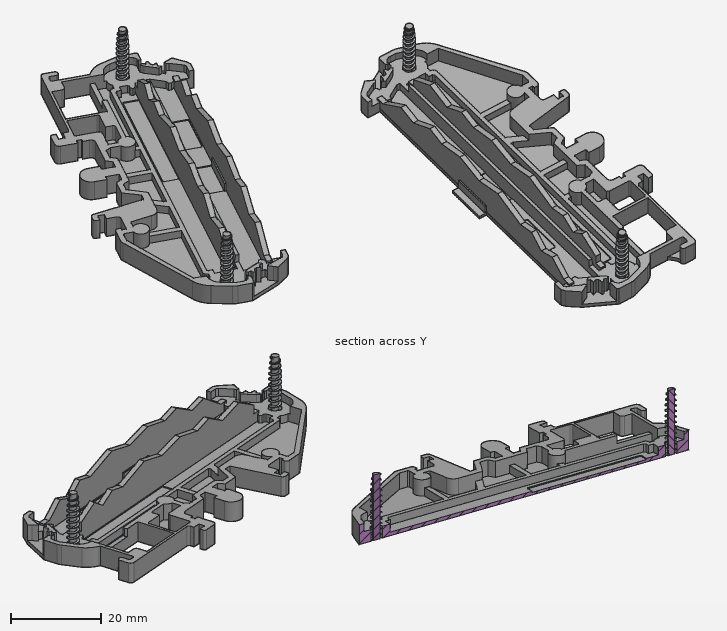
import cadquery as cq
import math

RIM_TOP = 4.9
LEDGE_TOP = 3.0
FLOOR_TOP = 1.0
RECESS_TOP = 0.7
CLEARANCE = 0.9

EAR_INNER_X = 34.9
EAR_TOP_Y = 37.6
BOARD_THICKNESS = 1.3
BACK_BOARD_Y = 33.0
FRONT_BOARD_Y = 24.3
BACK_EDGE_Y = BACK_BOARD_Y + BOARD_THICKNESS
SLOT_HALF_LENGTH = 36.0
RIDGE_BOTTOM_Y = 18.4
RIDGE_TOP_Y = 19.4

SCREW_X = 39.9
SCREW_Y = 22.6
SCREW_TOP = 16.0
SCREW_HOLE_RADIUS = 1.5
CORE_RADIUS = 0.9
THREAD_RADIUS = 1.4
THREAD_TIP_RADIUS = 1.1
TAPER_START = 11.65
THREAD_PITCH = 1.3
THREAD_START = 0.3
THREAD_TURNS = 11.5
THREAD_ROOT_HALF = 0.2
THREAD_CREST_HALF = 0.05
THREAD_OVERLAP = 0.13

POCKET_END_X = 39.2
POST_RIB = (-14.0, -12.6)
MIDDLE_RIB = (-4.8, -3.5)
FOOT_RIB = (17.6, 18.9)
BAY_FLOOR_Y = 11.9
FOOT_POCKET_TOP_Y = 14.7
WINDOW_TOP_Y = 14.8
STRIP_TOP_Y = 15.95
SMALL_WINDOW_TOP_Y = 12.6
SMALL_WINDOW_RIGHT_X = -19.1
WINDOW_BOTTOM_Y = 5.1
RECESS_CORNER = 0.4
POST_RADIUS = 2.0
WINDOW_POST = (-13.7, 15.6)
FOOT_POST = (18.3, 9.1)

CLIP_HALF_WIDTH = 5.0
CLIP_BACK_Y = 36.3
CLIP_LIP = 0.4
DIVIDER_BACK_Y = 27.2
DIVIDER_FRONT_Y = 26.4
DIVIDER_FOOT_Y = 26.2
DIVIDER_HALF_LENGTH = 33.8


def arc(middle, end):
    """An outline step that curves through `middle` to `end`."""
    return (middle, end)


def rounded(before, corner, after):
    """Start, middle and end of the arc that rounds a corner (x, y, radius)."""
    x, y, radius = corner
    back = cq.Vector(before[0] - x, before[1] - y).normalized()
    ahead = cq.Vector(after[0] - x, after[1] - y).normalized()
    half_angle = back.getAngle(ahead) / 2
    tip = cq.Vector(x, y)
    reach = radius / math.tan(half_angle)
    middle = tip + (back + ahead).normalized() * (radius / math.sin(half_angle) - radius)
    return [(p.x, p.y) for p in (tip + back * reach, middle, tip + ahead * reach)]


def end_of(step):
    return step[1] if isinstance(step[0], tuple) else step


def trace(steps, plane="XY"):
    """Closed outline; a step is a point (x, y), a rounded corner (x, y, radius) or an arc."""
    path = cq.Workplane(plane).moveTo(*steps[0])
    for index, step in enumerate(steps[1:], start=1):
        if isinstance(step[0], tuple):
            path = path.threePointArc(*step)
        elif len(step) == 3:
            following = steps[(index + 1) % len(steps)]
            start, middle, end = rounded(end_of(steps[index - 1]), step, end_of(following))
            path = path.lineTo(*start).threePointArc(middle, end)
        else:
            path = path.lineTo(*step)
    return path.close()


def cutter(steps, bottom):
    """Prism over an outline, from `bottom` to clear above the rim."""
    return trace(steps).extrude(RIM_TOP + CLEARANCE - bottom).translate((0, 0, bottom))


def block(x0, x1, y0, y1, z0, z1):
    return cq.Workplane("XY").box(x1 - x0, y1 - y0, z1 - z0, centered=False).translate((x0, y0, z0))


def both_ends(body):
    """The left-end shape together with its mirror image at the right end."""
    return body.union(body.mirror("YZ"))


def flipped(points):
    """Corners mirrored to the other end, in reverse order so the outline carries on."""
    return [(-corner[0], *corner[1:]) for corner in reversed(points)]


EAR = [
    (-43.1, 18.0), (-44.8, 23.0, 3.6), (-44.8, 27.1), (-44.5, 27.5), (-40.8, 34.2), (-38.35, 37.0),
    (-37.4, EAR_TOP_Y), (-EAR_INNER_X, EAR_TOP_Y), (-EAR_INNER_X, BACK_EDGE_Y),
]


def plate():
    clip = [
        (-CLIP_HALF_WIDTH, BACK_EDGE_Y), (-CLIP_HALF_WIDTH, CLIP_BACK_Y),
        (CLIP_HALF_WIDTH, CLIP_BACK_Y), (CLIP_HALF_WIDTH, BACK_EDGE_Y),
    ]
    right_slope = [
        (42.3, 15.7, 6.3), (21.7, 3.6, 1.8), (16.8, 3.6, 0.8), (16.8, 5.1), (17.4, 5.1), (17.4, 6.1),
    ]
    right_foot = [
        (12.45, 6.1, 0.8), (12.45, 3.0), (10.8, 3.0), (10.8, 1.4), (12.45, 1.4), (12.45, 0.0, 0.5),
        (10.1, 0.0, 0.9), (7.9, 13.0), (6.3, 13.0), (4.2, 9.0),
    ]
    round_foot = [
        (0.3, 9.0), (-0.7, 10.5), (-2.6, 10.5), (-2.6, 7.35), (-1.5, 7.35), (-1.5, 4.5),
        arc((-4.1, 1.9), (-6.7, 4.5)), (-6.7, 7.35), (-5.6, 7.35), (-5.6, 10.5), (-7.4, 10.5), (-8.3, 9.0),
    ]
    left_foot = [
        (-16.7, 9.0, 1.1), (-16.7, 6.3), (-17.4, 6.3), (-17.4, 5.1), (-16.4, 5.1), (-16.4, 0.0, 1.1),
        (-21.0, 0.0, 0.5), (-21.0, 1.4), (-19.1, 1.4), (-19.1, 3.0), (-21.0, 3.0), (-21.0, 4.5, 0.5),
    ]
    hook = [
        (-43.4, 4.5, 0.9), (-43.4, 8.4, 0.7), (-42.6, 8.4), arc((-41.0, 9.2), (-40.1, 10.3)), (-40.1, 15.05),
        (-40.4, 15.2), arc((-41.8, 16.3), EAR[0]),
    ]
    outline = EAR + clip + flipped(EAR) + right_slope + right_foot + round_foot + left_foot + hook
    return trace(outline).extrude(RIM_TOP)


def ledge_zone():
    beyond_ears = EAR_TOP_Y + CLEARANCE
    left_half = [
        (0, RIDGE_BOTTOM_Y), (-POCKET_END_X, RIDGE_BOTTOM_Y), (-POCKET_END_X, 18.1),
        arc((-41.0, 18.55), (-42.5, 20.3)), (-43.55, 23.65), (-43.55, 25.1), arc((-43.3, 26.1), (-42.6, 26.7)),
        (-41.1, 26.7), (-40.3, 26.7), (-39.6, 27.4), (-37.9, 30.5), (-38.4, 31.3), (-38.2, 32.0),
        (-39.1, 32.4), (-39.0, 33.1), (-37.4, 36.1), (-36.8, 36.5), (-EAR_INNER_X, 36.5),
        (-EAR_INNER_X, beyond_ears), (0, beyond_ears),
    ]
    return both_ends(cutter(left_half, LEDGE_TOP))


def latch_gap():
    """Opening in the ear's rim, down to the floor, beside the toothed latch bar."""
    left = [
        (-40.8, 34.2), (-40.2, 33.3), (-39.6, 32.1), (-39.1, 32.4), (-38.2, 32.0), (-38.4, 31.3),
        (-38.8, 30.5), (-39.9, 30.5), (-39.5, 29.6), (-39.9, 29.0),
        (-40.95, 28.85), (-40.95, 28.3), (-40.3, 28.0), (-40.7, 27.3),
        (-40.3, 26.7), (-41.1, 26.7), (-42.0, 26.9), (-42.0, 27.5), (-44.5, 27.5), (-45.7, 33.8),
    ]
    return both_ends(cutter(left, FLOOR_TOP))


def back_trough():
    left_half = [
        (0, BACK_EDGE_Y), (-SLOT_HALF_LENGTH, BACK_EDGE_Y), (-SLOT_HALF_LENGTH, BACK_BOARD_Y),
        (-EAR_INNER_X, BACK_BOARD_Y), (-34.4, 32.3), (-34.4, 31.5), (-35.2, 31.3), (-37.1, 28.0),
        (-37.1, DIVIDER_BACK_Y), (0, DIVIDER_BACK_Y),
    ]
    return both_ends(cutter(left_half, FLOOR_TOP))


def front_trough():
    left_half = [
        (0, DIVIDER_FOOT_Y), (-SLOT_HALF_LENGTH, DIVIDER_FOOT_Y), (-SLOT_HALF_LENGTH, FRONT_BOARD_Y),
        (-35.1, 24.0), (-34.85, 23.5), (-35.2, 22.9), (-35.9, 22.9), (-36.3, 22.6), (-36.3, 20.8),
        (-34.9, 20.8), (-34.9, 19.8), (-34.6, RIDGE_TOP_Y), (0, RIDGE_TOP_Y),
    ]
    return both_ends(cutter(left_half, FLOOR_TOP))


def divider():
    """Wall between the troughs, its front face leaning in towards the top."""
    profile = [
        (DIVIDER_FOOT_Y, FLOOR_TOP), (DIVIDER_FOOT_Y, LEDGE_TOP), (DIVIDER_FRONT_Y, RIM_TOP),
        (DIVIDER_BACK_Y, RIM_TOP), (DIVIDER_BACK_Y, FLOOR_TOP),
    ]
    wall = trace(profile, "YZ").extrude(2 * DIVIDER_HALF_LENGTH)
    return wall.translate((-DIVIDER_HALF_LENGTH, 0, 0))


def floor_recesses():
    clip_pad = block(
        -CLIP_HALF_WIDTH, CLIP_HALF_WIDTH, DIVIDER_BACK_Y, CLIP_BACK_Y, RECESS_TOP, RIM_TOP + CLEARANCE)
    back_recess = block(-22.85, -12.1, 28.3, 32.7, RECESS_TOP, FLOOR_TOP)
    back_recess = back_recess.edges("|Z").fillet(RECESS_CORNER)
    front_recess = block(-33.1, -2.15, 20.5, FRONT_BOARD_Y, RECESS_TOP, FLOOR_TOP)
    front_recess = front_recess.edges("|Z and <Y").fillet(RECESS_CORNER)
    return [clip_pad, back_recess, front_recess]


def clip_lips():
    """Two thin lips that grip the back board."""
    lips = []
    for y in (BACK_EDGE_Y, BACK_BOARD_Y - CLIP_LIP):
        lips.append(block(-CLIP_HALF_WIDTH, CLIP_HALF_WIDTH, y, y + CLIP_LIP, 0, LEDGE_TOP))
    return lips


def post(centre):
    return cq.Workplane("XY").center(*centre).circle(POST_RADIUS).extrude(RIM_TOP + CLEARANCE)


def lowered_ribs():
    """Ribs between pockets, and the strip beside the left window, at ledge height."""
    cut_top = RIM_TOP + CLEARANCE
    upright_ribs = [
        block(*POST_RIB, WINDOW_POST[1], RIDGE_BOTTOM_Y, LEDGE_TOP, cut_top),
        block(*MIDDLE_RIB, BAY_FLOOR_Y, RIDGE_BOTTOM_Y, LEDGE_TOP, cut_top),
        block(*FOOT_RIB, FOOT_POST[1], RIDGE_BOTTOM_Y, LEDGE_TOP, cut_top),
    ]
    slanted_rib = [
        (5.7, FOOT_POCKET_TOP_Y), (7.7, FOOT_POCKET_TOP_Y), (9.7, RIDGE_BOTTOM_Y), (7.4, RIDGE_BOTTOM_Y),
        (7.4, 17.7),
    ]
    window_strip = [
        (-POCKET_END_X, WINDOW_TOP_Y), (-29.8, WINDOW_TOP_Y), (-30.1, 15.4), (-29.8, STRIP_TOP_Y),
        (-POCKET_END_X, STRIP_TOP_Y),
    ]
    return upright_ribs + [cutter(slanted_rib, LEDGE_TOP), cutter(window_strip, LEDGE_TOP)]


LEDGE_SHOULDER = [
    (-POCKET_END_X, 18.6), arc((-38.3, 18.8), (-37.4, RIDGE_TOP_Y)), (-36.3, RIDGE_TOP_Y), (-36.0, 18.7),
    (-35.6, RIDGE_BOTTOM_Y),
]


def pockets():
    groove = [
        (-POCKET_END_X, STRIP_TOP_Y), *LEDGE_SHOULDER, (POST_RIB[0], RIDGE_BOTTOM_Y),
        (POST_RIB[0], STRIP_TOP_Y),
    ]
    window_pocket = [
        (-20.3, SMALL_WINDOW_TOP_Y), (-20.3, 14.9, 0.5), (POST_RIB[0], 14.9), (POST_RIB[0], 11.4),
        (-18.7, 11.4), (SMALL_WINDOW_RIGHT_X, 10.75), (SMALL_WINDOW_RIGHT_X, SMALL_WINDOW_TOP_Y),
    ]
    bay_left = [
        (POST_RIB[1], RIDGE_BOTTOM_Y), (MIDDLE_RIB[0], RIDGE_BOTTOM_Y), (MIDDLE_RIB[0], BAY_FLOOR_Y),
        (-8.3, BAY_FLOOR_Y), (-9.2, 10.3), (-11.9, 10.3), (POST_RIB[1], 11.5),
    ]
    bay_right = [
        (MIDDLE_RIB[1], RIDGE_BOTTOM_Y), (7.4, RIDGE_BOTTOM_Y), (7.4, 17.7), (3.3, 10.3), (1.25, 10.3),
        (0.3, BAY_FLOOR_Y), (MIDDLE_RIB[1], BAY_FLOOR_Y),
    ]
    foot_pocket = [
        (9.7, RIDGE_BOTTOM_Y), (FOOT_RIB[0], RIDGE_BOTTOM_Y), (FOOT_RIB[0], 7.8), (15.1, 7.8), (14.25, 12.9),
        arc((13.6, 14.2), (12.2, FOOT_POCKET_TOP_Y)), (7.7, FOOT_POCKET_TOP_Y),
    ]
    end_pocket = [
        (-POCKET_END_X, 15.05), *LEDGE_SHOULDER, (-FOOT_RIB[1], RIDGE_BOTTOM_Y), (-FOOT_RIB[1], 5.2),
        (-19.2, 4.9), (-21.4, 4.9),
    ]
    outlines = [groove, window_pocket, bay_left, bay_right, foot_pocket]
    return [cutter(steps, FLOOR_TOP) for steps in outlines] + [cutter(end_pocket, FLOOR_TOP).mirror("YZ")]


def windows():
    """Openings cut right through the housing above the long left arm."""
    large = [
        (-POCKET_END_X, WINDOW_TOP_Y), (-25.8, WINDOW_TOP_Y), (-25.8, WINDOW_BOTTOM_Y),
        (-36.4, WINDOW_BOTTOM_Y), (-36.4, 8.2, 0.8), (-POCKET_END_X, 8.2),
    ]
    small = [
        (SMALL_WINDOW_RIGHT_X, SMALL_WINDOW_TOP_Y), (-25.1, SMALL_WINDOW_TOP_Y, 0.45),
        (-25.1, WINDOW_BOTTOM_Y, 0.45), (SMALL_WINDOW_RIGHT_X, WINDOW_BOTTOM_Y, 0.45),
    ]
    return [cutter(large, 0), cutter(small, 0)]


def hook_slot():
    steps = [
        (-40.1, 10.75), (-40.1, 6.0, 0.45), (-41.9, 6.0, 0.45), (-41.9, 8.4, 0.5), (-42.6, 8.4), (-42.6, 10.75),
    ]
    return cutter(steps, FLOOR_TOP)


def screw_holes():
    places = [(-SCREW_X, SCREW_Y), (SCREW_X, SCREW_Y)]
    return cq.Workplane("XY").pushPoints(places).circle(SCREW_HOLE_RADIUS).extrude(LEDGE_TOP)


def make_housing():
    body = plate()
    post_stock = post(WINDOW_POST).union(post(FOOT_POST))
    for low_rib in lowered_ribs():
        body = body.cut(low_rib.cut(post_stock))
    for pocket in pockets():
        body = body.cut(pocket.cut(post_stock))
    body = body.cut(ledge_zone()).cut(latch_gap()).cut(back_trough()).cut(front_trough())
    for opening in floor_recesses() + windows():
        body = body.cut(opening)
    body = body.cut(hook_slot()).cut(screw_holes())
    for wall in clip_lips():
        body = body.union(wall)
    return body.union(divider())


BOARD_TAB_TOP = 3.4
SHARED_EDGE = [
    (-21.9, 8.3), (-17.7, 7.4), (-9.2, 10.2), (-2.2, 8.6), (4.9, 10.2), (11.7, 8.8), (16.2, 9.95),
]
FRONT_BOARD_EDGE = [
    (-34.1, 5.6), (-28.85, 8.3), (-25.6, 6.2), *SHARED_EDGE, (21.6, 7.1), (28.0, 8.8), (34.1, 5.6),
]
FRONT_BOARD_ENDS = (-34.1, 34.1)
BACK_BOARD_EDGE = [(-29.7, 6.8), (-25.5, 5.5), *SHARED_EDGE, (22.4, 6.7), (27.1, 7.8)]
BACK_BOARD_ENDS = (-34.0, 33.8)


def make_board(top_edge, ends, front_y):
    start, stop = ends
    profile = [
        (SLOT_HALF_LENGTH, FLOOR_TOP), (-SLOT_HALF_LENGTH, FLOOR_TOP), (-SLOT_HALF_LENGTH, BOARD_TAB_TOP),
        (start, BOARD_TAB_TOP), *top_edge, (stop, BOARD_TAB_TOP), (SLOT_HALF_LENGTH, BOARD_TAB_TOP),
    ]
    return trace(profile, "XZ").extrude(-BOARD_THICKNESS).translate((0, front_y, 0))


def taper_ring():
    """Ring that trims the thread narrower towards the top."""
    outside = 2 * THREAD_RADIUS
    profile = [
        (outside, TAPER_START), (THREAD_RADIUS, TAPER_START), (THREAD_TIP_RADIUS, SCREW_TOP),
        (outside, SCREW_TOP),
    ]
    return trace(profile, "XZ").revolve(360, (0, 0, 0), (0, 1, 0))


def make_screw(x):
    core = cq.Workplane("XY").circle(CORE_RADIUS).extrude(SCREW_TOP)
    thread_height = THREAD_PITCH * THREAD_TURNS
    path = cq.Wire.makeHelix(THREAD_PITCH, thread_height, CORE_RADIUS)
    root = CORE_RADIUS - THREAD_OVERLAP
    section = [
        (root, -THREAD_ROOT_HALF), (THREAD_RADIUS, -THREAD_CREST_HALF), (THREAD_RADIUS, THREAD_CREST_HALF),
        (root, THREAD_ROOT_HALF),
    ]
    thread = cq.Workplane("XZ").polyline(section).close().sweep(cq.Workplane(obj=path), isFrenet=True)
    thread = thread.translate((0, 0, THREAD_START)).cut(taper_ring())
    return core.union(thread).translate((x, SCREW_Y, 0))


housing = make_housing()
front_board = make_board(FRONT_BOARD_EDGE, FRONT_BOARD_ENDS, FRONT_BOARD_Y)
back_board = make_board(BACK_BOARD_EDGE, BACK_BOARD_ENDS, BACK_BOARD_Y)
screws = [make_screw(x) for x in (-SCREW_X, SCREW_X)]

result = cq.Compound.makeCompound(
    [housing.val(), front_board.val(), back_board.val(), *[screw.val() for screw in screws]])